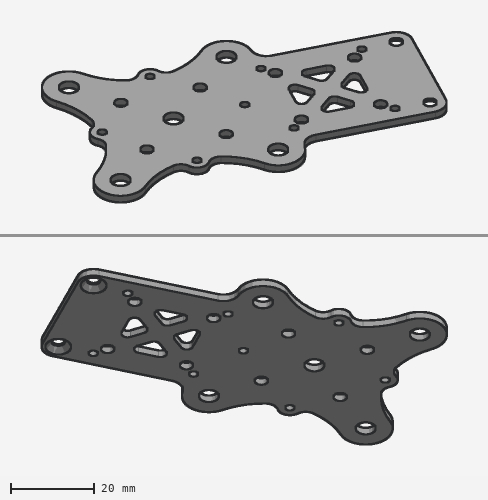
import cadquery as cq
import math

thickness = 2.0

lobe_offset = 19.89
lobe_radius = 6.5
large_hole_diameter = 4.8
side_waist_radius = 20.0
lower_waist_radius = 21.6

ear_offset = 18.0
ear_radius = 3.0
ear_blend_radius = 3.0

tongue_half_width = 17.0
tongue_end = 64.5
tongue_corner_radius = 4.0
tongue_blend_radius = 4.0

screw_diameter = 3.2
small_screw_diameter = 2.2
countersink_depth = 1.5
stack_half_pitch = 10.0
upper_stack_y = 39.0

window_outer = 9.0
window_strut_width = 4.0
window_corner_radius = 1.5

neck_x = tongue_half_width + tongue_blend_radius
neck_reach = lobe_radius + tongue_blend_radius
neck_y = lobe_offset + math.sqrt(neck_reach ** 2 - (neck_x - lobe_offset) ** 2)


def toward(start, target, distance):
    """Point at a signed distance from start along the line to target."""
    length = math.dist(start, target)
    return tuple(s + (t - s) * distance / length for s, t in zip(start, target))


def arc_middle(centre, radius, start, end):
    """Middle of the shorter arc between two points on a circle."""
    chord_middle = ((start[0] + end[0]) / 2, (start[1] + end[1]) / 2)
    return toward(centre, chord_middle, radius)


def add_arc(path, centre, radius, start, end):
    return path.threePointArc(arc_middle(centre, radius, start, end), end)


def mirror_y(point):
    return (point[0], -point[1])


def swap_to_lower(point):
    """Carry a point of the right waist to the lower waist."""
    return (point[1], -point[0])


def waist_centre(waist_radius):
    """Centre on +X of an arc touching both right lobes from outside."""
    reach = waist_radius + lobe_radius
    return (lobe_offset + math.sqrt(reach ** 2 - lobe_offset ** 2), 0)


def lobe_waist_tangent(waist_radius):
    """Point where the upper right lobe meets the right waist."""
    return toward((lobe_offset, lobe_offset), waist_centre(waist_radius), lobe_radius)


def ear_blend_centre(waist_radius):
    """Centre of the arc touching the ear from outside and the waist from inside."""
    to_ear = ear_radius + ear_blend_radius
    to_waist = waist_radius - ear_blend_radius
    ear_to_waist = waist_centre(waist_radius)[0] - ear_offset
    along = (to_ear ** 2 - to_waist ** 2 + ear_to_waist ** 2) / (2 * ear_to_waist)
    return (ear_offset + along, math.sqrt(to_ear ** 2 - along ** 2))


def add_half_waist(path, waist_radius, place, outward):
    """Half of a waist between its ear tip and a lobe; place positions the points."""
    ear = (ear_offset, 0)
    ear_tip = (ear_offset + ear_radius, 0)
    waist = waist_centre(waist_radius)
    blend = ear_blend_centre(waist_radius)
    ear_tangent = toward(ear, blend, ear_radius)
    waist_tangent = toward(waist, blend, waist_radius)
    lobe_tangent = lobe_waist_tangent(waist_radius)
    arcs = [
        (ear, ear_radius, ear_tip, ear_tangent),
        (blend, ear_blend_radius, ear_tangent, waist_tangent),
        (waist, waist_radius, waist_tangent, lobe_tangent),
    ]
    if not outward:
        arcs = [(centre, radius, end, start) for centre, radius, start, end in reversed(arcs)]
    for centre, radius, start, end in arcs:
        path = add_arc(path, place(centre), radius, place(start), place(end))
    return path


def right_half():
    """Plate half at +X, closed along the Y axis."""
    lobe = (lobe_offset, lobe_offset)
    lower_lobe = mirror_y(lobe)
    side_tangent = lobe_waist_tangent(side_waist_radius)
    lower_far = toward((0, 0), lower_lobe, math.hypot(*lower_lobe) + lobe_radius)
    upper_far = mirror_y(lower_far)
    neck = (neck_x, neck_y)
    neck_lobe_tangent = toward(lobe, neck, lobe_radius)
    neck_start = (tongue_half_width, neck_y)
    corner = (tongue_half_width - tongue_corner_radius, tongue_end - tongue_corner_radius)
    corner_start = (tongue_half_width, corner[1])
    corner_end = (corner[0], tongue_end)

    path = cq.Workplane("XY").moveTo(0, -ear_offset - ear_radius)
    path = add_half_waist(path, lower_waist_radius, swap_to_lower, outward=True)
    path = path.threePointArc(lower_far, mirror_y(side_tangent))
    path = add_half_waist(path, side_waist_radius, mirror_y, outward=False)
    path = add_half_waist(path, side_waist_radius, lambda point: point, outward=True)
    path = path.threePointArc(upper_far, neck_lobe_tangent)
    path = add_arc(path, neck, tongue_blend_radius, neck_lobe_tangent, neck_start)
    path = path.lineTo(*corner_start)
    path = add_arc(path, corner, tongue_corner_radius, corner_start, corner_end)
    return path.lineTo(0, tongue_end).close().extrude(thickness)


def through_holes(points, diameter):
    return cq.Workplane("XY").pushPoints(points).circle(diameter / 2).extrude(thickness)


def countersink(point):
    """90 degree cone opening downwards at the underside."""
    top_radius = screw_diameter / 2
    bottom_radius = top_radius + countersink_depth
    base = cq.Vector(point[0], point[1], 0)
    return cq.Workplane(cq.Solid.makeCone(bottom_radius, top_radius, countersink_depth, base))


def square(half_pitch, centre_y=0.0):
    return [(sx * half_pitch, centre_y + sy * half_pitch) for sx in (-1, 1) for sy in (-1, 1)]


def window(angle):
    """Rounded triangular window pointing at the centre of the upper pattern."""
    tip = window_strut_width / math.sqrt(2)
    half_base = window_outer - tip
    triangle = [(tip, 0), (window_outer, -half_base), (window_outer, half_base)]
    body = cq.Workplane("XY").polyline(triangle).close().extrude(thickness)
    body = body.edges("|Z").fillet(window_corner_radius)
    return body.rotate((0, 0, 0), (0, 0, 1), angle).translate((0, upper_stack_y, 0))


half = right_half()
plate = half.union(half.mirror("YZ")).clean()

plate = plate.cut(through_holes(square(lobe_offset) + [(0, 0)], large_hole_diameter))

tongue_hole_x = tongue_half_width - tongue_corner_radius
tongue_hole_y = tongue_end - tongue_corner_radius
tongue_holes = [(-tongue_hole_x, tongue_hole_y), (tongue_hole_x, tongue_hole_y)]
screw_points = square(stack_half_pitch) + square(stack_half_pitch, upper_stack_y) + tongue_holes
plate = plate.cut(through_holes(screw_points, screw_diameter))
for hole in tongue_holes:
    plate = plate.cut(countersink(hole))

axis_points = [(ear_offset, 0), (-ear_offset, 0), (0, ear_offset), (0, -ear_offset)]
diagonal_points = square(ear_offset / math.sqrt(2), upper_stack_y)
plate = plate.cut(through_holes(axis_points + diagonal_points, small_screw_diameter))

for angle in (0, 90, 180, 270):
    plate = plate.cut(window(angle))

result = plate